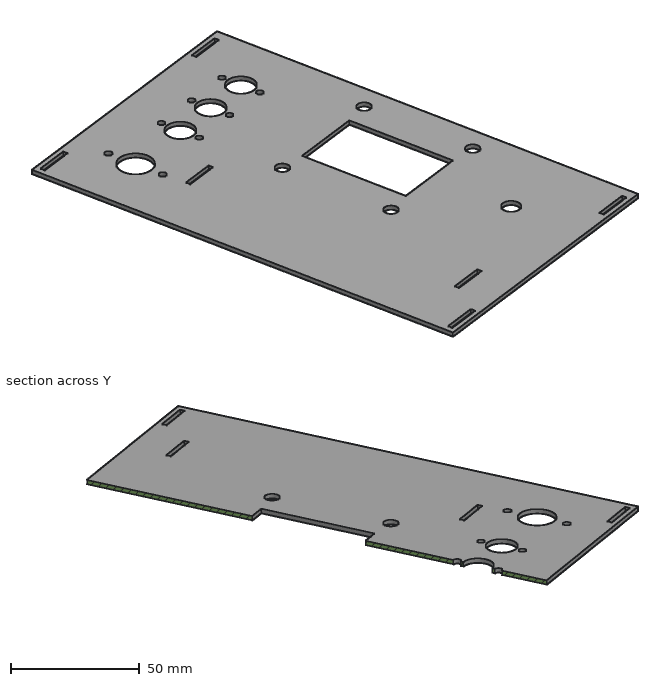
import cadquery as cq

panel_length = 201.0
panel_width = 123.0
panel_thickness = 2.0

window_length = 49.5
window_width = 31.4
window_center = (3.5, 23.5)
display_hole_diameter = 6.0
display_hole_spacing_x = 51.9
display_hole_spacing_y = 54.3

connector_x = -70.4
small_connector_diameter = 12.5
small_connector_screw_diameter = 3.0
small_connector_screw_spacing = 18.0
small_connector_pitch = 20.0
small_connector_count = 3
small_connector_top_y = 35.4
large_connector_diameter = 15.0
large_connector_screw_diameter = 3.2
large_connector_screw_spacing = 26.0
large_connector_y = -34.5

button_hole_diameter = 7.8
button_hole_center = (65.7, 25.5)

slot_width = 2.0
slot_length = 15.0
corner_slot_x = 97.3
upper_slot_y = 49.2
lower_slot_y = -51.3
inner_slot_y = -26.5
inner_slot_left_x = -45.6
inner_slot_right_x = 82.6


def cut_holes(body, centers, diameter):
    """Cut round through holes at the given panel positions."""
    return body.cut(
        cq.Workplane("XY").pushPoints(centers).circle(diameter / 2).extrude(panel_thickness)
    )


def cut_rectangles(body, centers, length_x, length_y):
    """Cut sharp-cornered through openings at the given panel positions."""
    return body.cut(
        cq.Workplane("XY").pushPoints(centers).rect(length_x, length_y).extrude(panel_thickness)
    )


def cut_connector(body, center_y, diameter, screw_diameter, screw_spacing):
    """Cut one connector hole and the screw holes on either side of it."""
    screws = [(connector_x + side * screw_spacing / 2, center_y) for side in (-1, 1)]
    body = cut_holes(body, [(connector_x, center_y)], diameter)
    return cut_holes(body, screws, screw_diameter)


panel = cq.Workplane("XY").rect(panel_length, panel_width).extrude(panel_thickness)

display_holes = [
    (
        window_center[0] + side_x * display_hole_spacing_x / 2,
        window_center[1] + side_y * display_hole_spacing_y / 2,
    )
    for side_x in (-1, 1)
    for side_y in (-1, 1)
]
panel = cut_rectangles(panel, [window_center], window_length, window_width)
panel = cut_holes(panel, display_holes, display_hole_diameter)

for index in range(small_connector_count):
    panel = cut_connector(
        panel,
        small_connector_top_y - index * small_connector_pitch,
        small_connector_diameter,
        small_connector_screw_diameter,
        small_connector_screw_spacing,
    )
panel = cut_connector(
    panel,
    large_connector_y,
    large_connector_diameter,
    large_connector_screw_diameter,
    large_connector_screw_spacing,
)

panel = cut_holes(panel, [button_hole_center], button_hole_diameter)

slot_centers = [(x, y) for x in (-corner_slot_x, corner_slot_x) for y in (upper_slot_y, lower_slot_y)]
slot_centers += [(x, inner_slot_y) for x in (inner_slot_left_x, inner_slot_right_x)]
panel = cut_rectangles(panel, slot_centers, slot_width, slot_length)

result = panel